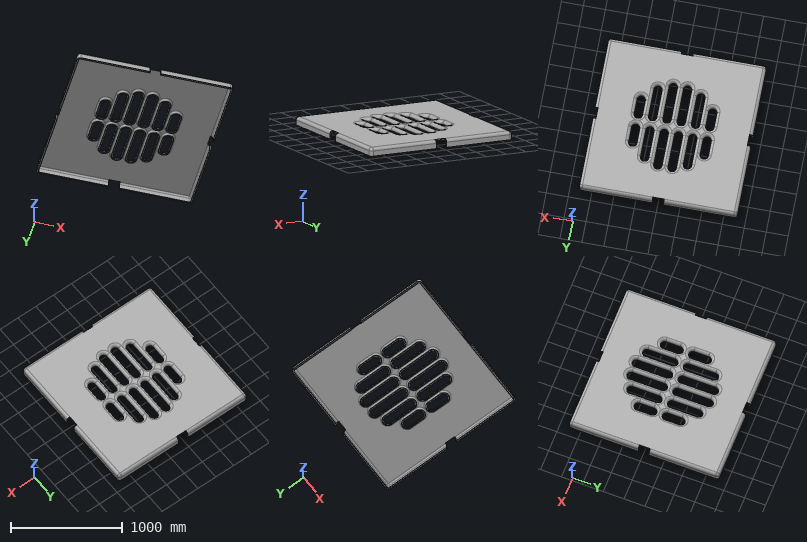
import cadquery as cq
import math

SIDE = 1440.0
HEIGHT = 80.0
THICKNESS = 15.0
BEND_RADIUS = 30.0
NOTCH_WIDTH = 100.0

SLOT_HALF_WIDTH = 35.0
ROLL_RADIUS = 30.0
LIP_DEPTH = 40.0
ROLLED_HALF_WIDTH = SLOT_HALF_WIDTH + ROLL_RADIUS
SLOT_PITCH = 2 * ROLLED_HALF_WIDTH
NEAR_CENTER_Y = ROLLED_HALF_WIDTH
FAR_CENTERS_Y = (375.0, 325.0, 205.0)

LIP_BOTTOM_Z = HEIGHT - LIP_DEPTH


def rounded_block(side, height, radius):
    """Square block standing on Z = 0 with rounded corners and a rounded top rim."""
    block = cq.Workplane("XY").box(side, side, height, centered=(True, True, False))
    block = block.edges("|Z").fillet(radius)
    return block.faces(">Z").edges().fillet(radius)


def make_tray():
    """Hollow tray, open at the bottom, with a constant wall thickness."""
    outside = rounded_block(SIDE, HEIGHT, BEND_RADIUS)
    inside = rounded_block(SIDE - 2 * THICKNESS, HEIGHT - THICKNESS, BEND_RADIUS - THICKNESS)
    return outside.cut(inside)


def cut_rim_notches(body):
    """Interrupt the rim at the middle of each side, as deep as the bend."""
    notch = cq.Workplane("XY").box(BEND_RADIUS, NOTCH_WIDTH, HEIGHT, centered=(True, True, False))
    notch = notch.translate(((SIDE - BEND_RADIUS) / 2, 0, 0))
    for angle in (0, 90, 180, 270):
        body = body.cut(notch.rotate((0, 0, 0), (0, 0, 1), angle))
    return body


def flare_profile(half_width, roll_radius, top_z):
    """Half section of a slot: straight wall, then a quarter arc opening out to the top."""
    arc_start_z = top_z - roll_radius
    diagonal = roll_radius * math.sqrt(0.5)
    arc_middle = (half_width + roll_radius - diagonal, arc_start_z + diagonal)
    return (
        cq.Workplane("XZ")
        .moveTo(0, LIP_BOTTOM_Z)
        .lineTo(half_width, LIP_BOTTOM_Z)
        .lineTo(half_width, arc_start_z)
        .threePointArc(arc_middle, (half_width + roll_radius, top_z))
        .lineTo(0, top_z)
        .close()
    )


def flared_slot(far_center_y, half_width, roll_radius, top_z):
    """Round-ended slot volume along Y on X = 0, flaring out towards top_z."""
    end = flare_profile(half_width, roll_radius, top_z).revolve(360, (0, 0, 0), (0, 1, 0))
    half = flare_profile(half_width, roll_radius, top_z).extrude(NEAR_CENTER_Y - far_center_y)
    middle = half.union(half.mirror("YZ")).translate((0, NEAR_CENTER_Y, 0))
    near_end = end.translate((0, NEAR_CENTER_Y, 0))
    far_end = end.translate((0, far_center_y, 0))
    return middle.union(near_end).union(far_end)


def slot_array(half_width, roll_radius, top_z):
    """All slot volumes of the grille, mirrored about both the X and Y axes."""
    slots = []
    for column, far_center_y in enumerate(FAR_CENTERS_Y):
        x = (column + 0.5) * SLOT_PITCH
        slot = flared_slot(far_center_y, half_width, roll_radius, top_z)
        for side in (-1, 1):
            upper = slot.translate((side * x, 0, 0))
            slots += [upper, upper.mirror("XZ")]
    return slots


def add_grille(body):
    """Add the rolled lips under the sheet, then open the slots through them."""
    lips = slot_array(SLOT_HALF_WIDTH + THICKNESS, ROLL_RADIUS - THICKNESS, HEIGHT - THICKNESS)
    openings = slot_array(SLOT_HALF_WIDTH, ROLL_RADIUS, HEIGHT)
    for lip in lips:
        body = body.union(lip, clean=False)
    for opening in openings:
        body = body.cut(opening, clean=False)
    return body


tray = cut_rim_notches(make_tray())
result = add_grille(tray)